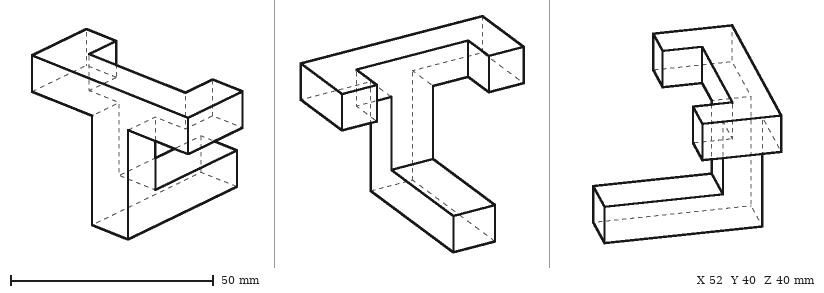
import cadquery as cq

rail_length = 52.0
frame_size = 40.0
stem_width = 12.0
bar_thickness = frame_size / 4
hook_depth = 2 * bar_thickness


def make_stem():
    """L-shaped upright: a front post with a foot running back along +Y."""
    outline = [
        (0, 0),
        (frame_size, 0),
        (frame_size, bar_thickness),
        (bar_thickness, bar_thickness),
        (bar_thickness, frame_size),
        (0, frame_size),
    ]
    return cq.Workplane("YZ").polyline(outline).close().extrude(stem_width / 2, both=True)


def make_rail():
    """U-shaped top rail: a crossbar with an arm running back at each end."""
    half_length = rail_length / 2
    arm_inner_x = half_length - bar_thickness
    outline = [
        (-half_length, 0),
        (half_length, 0),
        (half_length, hook_depth),
        (arm_inner_x, hook_depth),
        (arm_inner_x, bar_thickness),
        (-arm_inner_x, bar_thickness),
        (-arm_inner_x, hook_depth),
        (-half_length, hook_depth),
    ]
    rail_bottom = frame_size - bar_thickness
    return (
        cq.Workplane("XY")
        .workplane(offset=rail_bottom)
        .polyline(outline)
        .close()
        .extrude(bar_thickness)
    )


result = make_stem().union(make_rail())